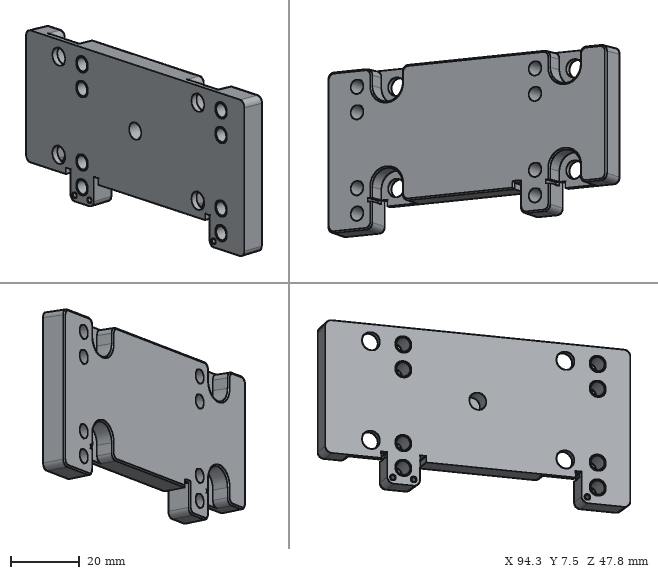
import cadquery as cq
import math

length = 94.3
thickness = 7.5
full_height = 47.8
main_height = 40.3
corner_radius = 2.0
side_draft = 1.0
back_edge_chamfer = 0.5

group_pitch = 60.0
row_offset = 15.0
extra_row_step = 7.5
clearance_to_tapped = 10.0
clearance_x = -33.0

clearance_diameter = 5.5
tapped_diameter = 4.2
tapped_rim_diameter = 5.0
rim_depth = 0.1
centre_diameter = 5.2
centre_depth = 5.6

pin_diameter = 1.4
pin_rim_diameter = 1.8
pin_depth = 3.8
pin_side_offset = 3.2
pin_drop = 3.2

slot_radius = 5.0
slot_floor = 2.0

tab_width = 10.2
notch_width = 1.9
notch_height = 2.0

recess_width = 1.3
recess_floor = 0.85

tapped_x = clearance_x + clearance_to_tapped
groups = [0, group_pitch]
right = length / 2
left = -right
top = main_height / 2
main_bottom = -top
tab_bottom = top - full_height
left_tab_start = clearance_x + slot_radius
left_tab_end = left_tab_start + tab_width
right_tab_start = left_tab_start + group_pitch
notch_top = main_bottom + notch_height
recess_height = notch_height - recess_floor
slot_depth = thickness - slot_floor
slot_back_radius = slot_radius + thickness * math.tan(math.radians(side_draft))


def make_plate():
    """Main plate with its two tabs and the relief notches, sides drafted."""
    outline = [
        (left, top),
        (right, top),
        (right, tab_bottom),
        (right_tab_start, tab_bottom),
        (right_tab_start, notch_top),
        (right_tab_start - notch_width, notch_top),
        (right_tab_start - notch_width, main_bottom),
        (left_tab_end + notch_width, main_bottom),
        (left_tab_end + notch_width, notch_top),
        (left_tab_end, notch_top),
        (left_tab_end, tab_bottom),
        (left_tab_start, tab_bottom),
        (left_tab_start, notch_top),
        (left_tab_start - notch_width, notch_top),
        (left_tab_start - notch_width, main_bottom),
        (left, main_bottom),
    ]
    return cq.Workplane("XZ").polyline(outline).close().extrude(-thickness, taper=side_draft)


def cut_slot(body, slot_x, opening):
    """Cut a round-ended slot from the back; opening is 1 for upward, -1 for downward."""
    reach = opening * main_height / 2
    cutter = (
        cq.Workplane("XZ", origin=(slot_x, thickness, opening * row_offset))
        .moveTo(-slot_back_radius, reach)
        .lineTo(-slot_back_radius, 0)
        .threePointArc((0, -opening * slot_back_radius), (slot_back_radius, 0))
        .lineTo(slot_back_radius, reach)
        .close()
        .extrude(slot_depth, taper=side_draft)
    )
    return body.cut(cutter)


def round_corners(body, corners):
    """Fillet the front-to-back edges that stand at the given (x, z) corners."""
    margin = corner_radius / 4
    edges = []
    for x, z in corners:
        around_corner = cq.selectors.BoxSelector(
            (x - margin, -margin, z - margin),
            (x + margin, thickness + margin, z + margin),
            boundingbox=True,
        )
        edges += body.edges(around_corner).edges("not(#Y)").vals()
    return body.newObject(edges).fillet(corner_radius)


def drill(body, x, z, diameter, depth):
    """Flat-bottomed hole bored from the front face."""
    bore = cq.Workplane("XZ").center(x, z).circle(diameter / 2).extrude(-depth)
    return body.cut(bore)


def drill_stepped(body, x, z, diameter, depth, rim_diameter):
    """Hole with a shallow wider step at its mouth."""
    body = drill(body, x, z, rim_diameter, rim_depth)
    return drill(body, x, z, diameter, depth)


result = make_plate()
for group_x in groups:
    for opening in (1, -1):
        result = cut_slot(result, clearance_x + group_x, opening)

plate_corners = [
    (left, top),
    (right, top),
    (left, main_bottom),
    (right, tab_bottom),
    (right_tab_start, tab_bottom),
    (left_tab_start, tab_bottom),
    (left_tab_end, tab_bottom),
]
mouth_corners = []
for group_x in groups:
    slot_x = clearance_x + group_x
    mouth_corners += [
        (slot_x - slot_radius, top),
        (slot_x + slot_radius, top),
        (slot_x - slot_radius, main_bottom),
    ]
result = round_corners(result, plate_corners + mouth_corners)
result = result.faces(">Y").edges().chamfer(back_edge_chamfer)

for group_x in groups:
    recess = cq.Workplane("XY").box(
        recess_width + notch_width, slot_depth, recess_height, centered=False
    )
    recess_x = left_tab_start - notch_width + group_x
    result = result.cut(recess.translate((recess_x, slot_floor, main_bottom + recess_floor)))

for group_x in groups:
    for row_z in (row_offset, -row_offset):
        result = drill(result, clearance_x + group_x, row_z, clearance_diameter, thickness)
        for hole_z in (row_z, row_z - extra_row_step):
            result = drill_stepped(
                result, tapped_x + group_x, hole_z, tapped_diameter, thickness, tapped_rim_diameter
            )

pin_z = -row_offset - extra_row_step - pin_drop
for pin_x in (
    tapped_x - pin_side_offset,
    tapped_x + pin_side_offset,
    tapped_x - pin_side_offset + group_pitch,
):
    result = drill_stepped(result, pin_x, pin_z, pin_diameter, pin_depth, pin_rim_diameter)

result = drill(result, 0, 0, centre_diameter, centre_depth)